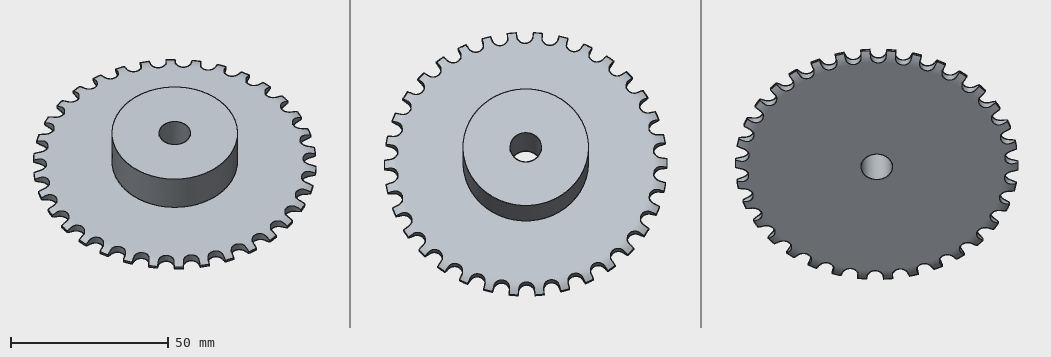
import cadquery as cq
import math

tooth_count = 34
tip_diameter = 90.0
chain_pitch = 8.0
roller_diameter = 5.0
plate_thickness = 2.8
total_height = 16.0
hub_diameter = 40.0
bore_diameter = 10.0
face_diameter = 82.2
tooth_side_radius = 8.3
gap_flare_angle = 6.0

tip_radius = tip_diameter / 2
face_radius = face_diameter / 2
pitch_radius = chain_pitch / (2 * math.sin(math.pi / tooth_count))
pitch_angle = 360 / tooth_count


def side_drop(radius):
    """Axial distance from the flat face down to the rounded tooth side at a radius."""
    return tooth_side_radius - math.sqrt(tooth_side_radius**2 - (radius - face_radius) ** 2)


def make_plate():
    """Revolve the disc, whose rim narrows on both sides along tangent arcs."""
    mid_radius = (face_radius + tip_radius) / 2
    mid_drop = side_drop(mid_radius)
    tip_drop = side_drop(tip_radius)
    profile = (
        cq.Workplane("XZ")
        .lineTo(face_radius, 0)
        .threePointArc((mid_radius, mid_drop), (tip_radius, tip_drop))
        .lineTo(tip_radius, plate_thickness - tip_drop)
        .threePointArc((mid_radius, plate_thickness - mid_drop), (face_radius, plate_thickness))
        .lineTo(0, plate_thickness)
        .close()
    )
    return profile.revolve(360, (0, 0), (0, 1))


def make_tooth_gaps():
    """Round-bottomed, slightly flared gaps, seated on the pitch circle and open past the tips."""
    roller_radius = roller_diameter / 2
    flare = math.radians(gap_flare_angle)
    wall_start_x = pitch_radius - roller_radius * math.sin(flare)
    wall_start_y = roller_radius * math.cos(flare)
    gap_end_x = tip_radius + roller_radius
    gap_end_y = wall_start_y + (gap_end_x - wall_start_x) * math.tan(flare)
    gap = (
        cq.Workplane("XY")
        .moveTo(gap_end_x, -gap_end_y)
        .lineTo(wall_start_x, -wall_start_y)
        .threePointArc((pitch_radius - roller_radius, 0), (wall_start_x, wall_start_y))
        .lineTo(gap_end_x, gap_end_y)
        .close()
        .extrude(plate_thickness)
    )
    gaps = cq.Workplane("XY")
    for index in range(tooth_count):
        gaps.add(gap.rotate((0, 0, 0), (0, 0, 1), index * pitch_angle))
    return gaps.combine()


plate = make_plate().cut(make_tooth_gaps())
hub = cq.Workplane("XY").circle(hub_diameter / 2).extrude(total_height)
bore = cq.Workplane("XY").circle(bore_diameter / 2).extrude(total_height)
result = plate.union(hub).cut(bore)